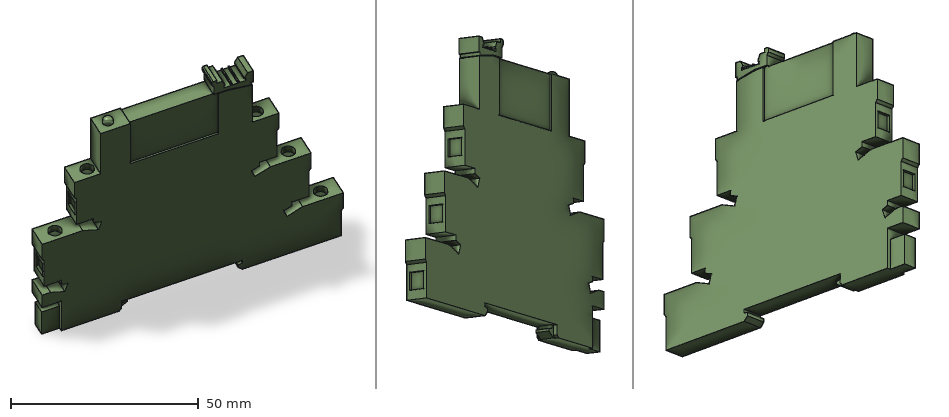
import cadquery as cq
import math


THICKNESS = 6.3
HALF_LENGTH = 44.25

TIER_STEP_IN = 9.5
LOW_TIER_TOP = 16.3
TIER_PITCH = 19.65
MID_TIER_TOP = LOW_TIER_TOP + TIER_PITCH
HIGH_TIER_TOP = MID_TIER_TOP + TIER_PITCH
TIER_DEPTH = 16.5
LIP_HEIGHT = 5.8
LIP_TAPER = 0.8
LIP_OVERHANG = 0.6
BACK_HIGH_EDGE = HALF_LENGTH - 2 * TIER_STEP_IN
BACK_MID_EDGE = HALF_LENGTH - TIER_STEP_IN
FRONT_HIGH_EDGE = HALF_LENGTH - TIER_STEP_IN

NOTCH_RAMP_START = 2.5
NOTCH_FLOOR_END = 7.1
LOW_FRONT_NOTCH_FLOOR_END = 6.6
NOTCH_TILT = math.radians(20)
NOTCH_WIDTH = 2.7
NOTCH_MOUTH = 5.7

SCREW_HOLE_DIAMETER = 3.8
SCREW_HOLE_DEPTH = 2.2
SCREW_HOLE_INSET = 5.2
SOCKET_WIDTH = 4.3
SOCKET_HEIGHT = 4.9
SOCKET_TOP_DROP = 8.8
SOCKET_DEPTH = 0.9

BLOCK_BACK = 17.5
BLOCK_FRONT = -27.1
BLOCK_TOP = 71.1
BLOCK_BACK_TOP = 69.9
BLOCK_SLOPE_END = 10.3

LAMP_Y = -23.45
LAMP_DIAMETER = 3.0
LAMP_BASE_HEIGHT = 0.3

RECESS_HEIGHT = 3.45
RECESS_BACK = 14.6
RECESS_FRONT = -21.0
HOOK_REACH = 1.2
HOOK_TOP = 2.5
HOOK_TOP_DROP = 0.3
HOOK_TIP_BOTTOM = 1.2
CORNER_CHAMFER = 0.7

FOOT_WIDTH = 4.1
FOOT_BACK = -38.6
FOOT_FRONT = -43.9
FOOT_TOP = 8.6
FRONT_TAB_BOTTOM = 11.5
LATCH_ROOT = 0.9
LATCH_TIP = 2.4
LATCH_TIP_BOTTOM = 1.5

RELAY_WIDTH = 5.1
RELAY_BACK = 7.6
RELAY_FRONT = -18.3

CLIP_BACK = 17.8
CLIP_FRONT = 6.2
CLIP_BOTTOM = 71.3
CLIP_SLOPE_END = 10.8
CLIP_HEEL_Y = 17.2
CLIP_HEEL_TOP = 71.1
CLIP_HEEL_BOTTOM = 70.2
CLIP_TOP = 75.3
CLIP_FLOOR = 72.6
CHANNEL_BACK = 15.7
CHANNEL_FRONT = 9.2
ARM_TIP_TOP = 73.8
ARM_UNDERCUT = 73.3
BACK_ARM_TIP = 15.1
BACK_ARM_CREST = 16.1
FRONT_ARM_TIP = 9.5
FRONT_ARM_CREST = 8.8
POST_TOP = 76.4
POST_BACK = 7.1
POST_FRONT = 5.7
POST_CHAMFER = 0.35
POST_NOSE_BOTTOM = 75.0
POST_NOSE_ROOT = 74.2
RIB_POSITIONS = (13.45, 11.4)
RIB_WIDTH = 0.4
RIB_HEIGHT = 0.5


def extrude_outline(outline, width):
    """Extrude a closed (Y, Z) outline symmetrically about the X = 0 plane."""
    return cq.Workplane("YZ").polyline(outline).close().extrude(width / 2, both=True)


def box_between(width, y_range, z_range):
    """A box centred on X = 0 that spans the given Y and Z ranges."""
    return (
        cq.Workplane("XY")
        .box(width, y_range[1] - y_range[0], z_range[1] - z_range[0])
        .translate((0, sum(y_range) / 2, sum(z_range) / 2))
    )


def tier_edge(edge, top):
    """Outer edge of a tier, from its underside up to its top, for the +Y end."""
    inner = edge - LIP_OVERHANG
    return [
        (inner, top - TIER_DEPTH),
        (inner, top - LIP_HEIGHT - LIP_TAPER),
        (edge, top - LIP_HEIGHT),
        (edge, top),
    ]


def marker_notch(upper_edge, top, floor_end=NOTCH_FLOOR_END):
    """Tilted notch above a tier, from the ramp to the tier underside above it, for the +Y end."""
    floor_y = upper_edge - floor_end
    floor_z = top - (floor_end - NOTCH_RAMP_START) * math.tan(NOTCH_TILT)
    roof_y = floor_y - NOTCH_WIDTH * math.sin(NOTCH_TILT)
    roof_z = floor_z + NOTCH_WIDTH * math.cos(NOTCH_TILT)
    mouth_y = upper_edge - NOTCH_MOUTH
    mouth_z = roof_z + (mouth_y - roof_y) * math.tan(NOTCH_TILT)
    return [
        (upper_edge - NOTCH_RAMP_START, top),
        (floor_y, floor_z),
        (roof_y, roof_z),
        (mouth_y, mouth_z),
        (mouth_y, top + TIER_PITCH - TIER_DEPTH),
    ]


def at_front(points):
    """Mirror +Y end points to the -Y end."""
    return [(-y, z) for y, z in points]


def housing_plate():
    back_hook_tip = RECESS_BACK - HOOK_REACH
    low_back_inner = HALF_LENGTH - LIP_OVERHANG
    back = [
        (low_back_inner, 0),
        *tier_edge(HALF_LENGTH, LOW_TIER_TOP)[1:],
        *marker_notch(BACK_MID_EDGE, LOW_TIER_TOP),
        *tier_edge(BACK_MID_EDGE, MID_TIER_TOP),
        *marker_notch(BACK_HIGH_EDGE, MID_TIER_TOP),
        *tier_edge(BACK_HIGH_EDGE, HIGH_TIER_TOP),
        (BLOCK_BACK, HIGH_TIER_TOP),
        (BLOCK_BACK, BLOCK_BACK_TOP),
        (BLOCK_SLOPE_END, BLOCK_TOP),
    ]
    front_upward = at_front([
        (HALF_LENGTH, FRONT_TAB_BOTTOM),
        (HALF_LENGTH, LOW_TIER_TOP),
        *marker_notch(HALF_LENGTH, LOW_TIER_TOP, LOW_FRONT_NOTCH_FLOOR_END),
        *tier_edge(HALF_LENGTH, MID_TIER_TOP),
        *marker_notch(FRONT_HIGH_EDGE, MID_TIER_TOP),
        *tier_edge(FRONT_HIGH_EDGE, HIGH_TIER_TOP),
        (-BLOCK_FRONT, HIGH_TIER_TOP),
        (-BLOCK_FRONT, BLOCK_TOP),
    ])
    underside = [
        (FOOT_BACK, FRONT_TAB_BOTTOM),
        (FOOT_BACK, 0),
        (RECESS_FRONT - CORNER_CHAMFER, 0),
        (RECESS_FRONT, CORNER_CHAMFER),
        (RECESS_FRONT, RECESS_HEIGHT),
        (RECESS_BACK, RECESS_HEIGHT),
        (RECESS_BACK, HOOK_TOP),
        (back_hook_tip, HOOK_TOP - HOOK_TOP_DROP),
        (back_hook_tip, HOOK_TIP_BOTTOM),
        (RECESS_BACK, 0),
    ]
    return extrude_outline(back + front_upward[::-1] + underside, THICKNESS)


def foot():
    return box_between(FOOT_WIDTH, (FOOT_FRONT, FOOT_BACK), (0, FOOT_TOP))


def latch():
    """Rail latch that reaches from the front wall of the recess."""
    root = RECESS_FRONT + LATCH_ROOT
    tip = RECESS_FRONT + LATCH_TIP
    outline = [
        (RECESS_FRONT - CORNER_CHAMFER, 0),
        (RECESS_FRONT, 0),
        (tip, LATCH_TIP_BOTTOM),
        (tip, HOOK_TOP - HOOK_TOP_DROP),
        (root, HOOK_TOP),
        (root, RECESS_HEIGHT),
        (RECESS_FRONT - CORNER_CHAMFER, RECESS_HEIGHT),
    ]
    return extrude_outline(outline, FOOT_WIDTH)


def lamp():
    radius = LAMP_DIAMETER / 2
    base = cq.Workplane("XY").circle(radius).extrude(LAMP_BASE_HEIGHT)
    dome = cq.Workplane("XY").sphere(radius, angle1=0).translate((0, 0, LAMP_BASE_HEIGHT))
    return base.union(dome).translate((0, LAMP_Y, BLOCK_TOP))


def terminal_cutouts(edge, top, end):
    """Screw hole and wire socket of one tier; end is +1 at the +Y end and -1 at the -Y end."""
    hole = (
        cq.Workplane("XY")
        .circle(SCREW_HOLE_DIAMETER / 2)
        .extrude(-SCREW_HOLE_DEPTH)
        .translate((0, end * (edge - SCREW_HOLE_INSET), top))
    )
    face = edge - LIP_OVERHANG
    socket_top = top - SOCKET_TOP_DROP
    y_range = sorted((end * face, end * (face - SOCKET_DEPTH)))
    socket = box_between(SOCKET_WIDTH, y_range, (socket_top - SOCKET_HEIGHT, socket_top))
    return hole.union(socket)


def make_housing():
    body = housing_plate().union(foot()).union(latch()).union(lamp())
    terminals = [
        (HALF_LENGTH, LOW_TIER_TOP, 1),
        (BACK_MID_EDGE, MID_TIER_TOP, 1),
        (BACK_HIGH_EDGE, HIGH_TIER_TOP, 1),
        (HALF_LENGTH, MID_TIER_TOP, -1),
        (FRONT_HIGH_EDGE, HIGH_TIER_TOP, -1),
    ]
    for edge, top, end in terminals:
        body = body.cut(terminal_cutouts(edge, top, end))
    relay_slot = box_between(THICKNESS, (RELAY_FRONT, RELAY_BACK), (HIGH_TIER_TOP, BLOCK_TOP))
    return body.cut(relay_slot)


def channel_rib(y):
    """Low rib that runs across the channel floor of the clip."""
    y_range = (y - RIB_WIDTH / 2, y + RIB_WIDTH / 2)
    return box_between(THICKNESS, y_range, (CLIP_FLOOR, CLIP_FLOOR + RIB_HEIGHT))


def clip():
    underside = [
        (CLIP_FRONT, CLIP_BOTTOM),
        (CLIP_SLOPE_END, CLIP_BOTTOM),
        (CLIP_HEEL_Y, CLIP_HEEL_BOTTOM),
        (CLIP_HEEL_Y, CLIP_HEEL_TOP),
        (CLIP_BACK, CLIP_HEEL_TOP),
    ]
    back_arm = [
        (CLIP_BACK, CLIP_TOP),
        (BACK_ARM_CREST, CLIP_TOP),
        (BACK_ARM_TIP, ARM_TIP_TOP),
        (BACK_ARM_TIP, ARM_UNDERCUT),
        (CHANNEL_BACK, ARM_UNDERCUT),
        (CHANNEL_BACK, CLIP_FLOOR),
    ]
    front_arm = [
        (CHANNEL_FRONT, CLIP_FLOOR),
        (CHANNEL_FRONT, ARM_UNDERCUT),
        (FRONT_ARM_TIP, ARM_UNDERCUT),
        (FRONT_ARM_TIP, ARM_TIP_TOP),
        (FRONT_ARM_CREST, CLIP_TOP),
    ]
    post = [
        (POST_BACK, CLIP_TOP),
        (POST_BACK, POST_TOP),
        (POST_FRONT + POST_CHAMFER, POST_TOP),
        (POST_FRONT, POST_TOP - POST_CHAMFER),
        (POST_FRONT, POST_NOSE_BOTTOM),
        (CLIP_FRONT, POST_NOSE_ROOT),
    ]
    body = extrude_outline(underside + back_arm + front_arm + post, THICKNESS)
    for y in RIB_POSITIONS:
        body = body.union(channel_rib(y))
    return body


def make_relay():
    """Relay with the ejector clip, joined by a short neck as wide as the relay."""
    case = box_between(RELAY_WIDTH, (RELAY_FRONT, RELAY_BACK), (HIGH_TIER_TOP, BLOCK_TOP))
    neck = box_between(RELAY_WIDTH, (CLIP_FRONT, RELAY_BACK), (BLOCK_TOP, CLIP_BOTTOM))
    return case.union(neck).union(clip())


housing = make_housing()
relay = make_relay()
result = cq.Compound.makeCompound([housing.val(), relay.val()])